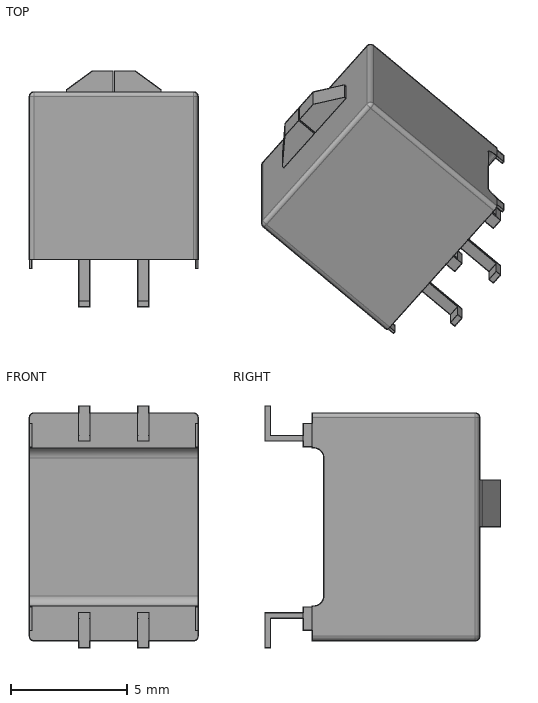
import cadquery as cq

HOUSING_WIDTH = 7.26
HOUSING_DEPTH = 7.21
HOUSING_HEIGHT = 9.8
EDGE_RADIUS = 0.21

RELIEF_HEIGHT = 6.78
RELIEF_DEPTH = 0.5
RELIEF_RADIUS = 0.43

TAB_THICKNESS = 0.1
TAB_HEIGHT = 1.01
TAB_LENGTH = 0.38
TAB_SIDE_INSET = 0.005
TAB_END_INSET = 0.46

PIN_PITCH = 2.54
PIN_WIDTH = 0.48
PIN_THICKNESS = 0.25
PIN_REACH = 2.03
PIN_LEG = 1.52
OVERALL_HEIGHT = 10.4

ACTUATOR_BASE_HALF_WIDTH = 2.04
ACTUATOR_TIP_HALF_WIDTH = 0.93
ACTUATOR_SHOULDER = 0.08
ACTUATOR_LENGTH = 0.89
ACTUATOR_HEIGHT = 2.02
ACTUATOR_GAP = 0.05

SIDES = (-1, 1)


def make_block():
    """Rounded block, with the edges round the pin face left sharp."""
    block = cq.Workplane("XY").box(HOUSING_WIDTH, HOUSING_DEPTH, HOUSING_HEIGHT)
    block = block.translate((0, HOUSING_DEPTH / 2, 0))
    return block.edges("|Y or >Y").fillet(EDGE_RADIUS)


def make_relief():
    """Cutter for the relief, with its two inner corners rounded."""
    return (
        cq.Workplane("XY")
        .box(HOUSING_WIDTH, 2 * RELIEF_DEPTH, RELIEF_HEIGHT)
        .edges("|X and >Y")
        .fillet(RELIEF_RADIUS)
    )


def make_tab(side_x, side_z):
    """Thin tab set in slightly from one side of the housing."""
    center_x = side_x * (HOUSING_WIDTH / 2 - TAB_SIDE_INSET - TAB_THICKNESS / 2)
    center_z = side_z * (HOUSING_HEIGHT / 2 - TAB_END_INSET - TAB_HEIGHT / 2)
    tab = cq.Workplane("XY").box(TAB_THICKNESS, TAB_LENGTH, TAB_HEIGHT)
    return tab.translate((center_x, -TAB_LENGTH / 2, center_z))


def make_pin(side_x, side_z):
    """L-shaped pin that leaves the pin face and bends away from mid height."""
    end_z = side_z * OVERALL_HEIGHT / 2
    inner_z = end_z - side_z * PIN_LEG
    outer_z = inner_z + side_z * PIN_THICKNESS
    bend_y = PIN_THICKNESS - PIN_REACH
    outline = [
        (0, inner_z),
        (-PIN_REACH, inner_z),
        (-PIN_REACH, end_z),
        (bend_y, end_z),
        (bend_y, outer_z),
        (0, outer_z),
    ]
    pin = cq.Workplane("YZ").polyline(outline).close().extrude(PIN_WIDTH / 2, both=True)
    return pin.translate((side_x * PIN_PITCH / 2, 0, 0))


def make_housing():
    """Housing in one piece with its tabs and pins."""
    housing = make_block().cut(make_relief())
    for side_x in SIDES:
        for side_z in SIDES:
            housing = housing.union(make_tab(side_x, side_z))
            housing = housing.union(make_pin(side_x, side_z))
    return housing


def make_actuator_half(side_x):
    """One half of the tapered actuator, standing on the back face."""
    back_y = HOUSING_DEPTH
    tip_y = back_y + ACTUATOR_LENGTH
    inner_x = side_x * ACTUATOR_GAP / 2
    base_x = side_x * ACTUATOR_BASE_HALF_WIDTH
    outline = [
        (inner_x, back_y),
        (base_x, back_y),
        (base_x, back_y + ACTUATOR_SHOULDER),
        (side_x * ACTUATOR_TIP_HALF_WIDTH, tip_y),
        (inner_x, tip_y),
    ]
    return cq.Workplane("XY").polyline(outline).close().extrude(ACTUATOR_HEIGHT)


housing = make_housing()
actuator_halves = [make_actuator_half(side_x) for side_x in SIDES]

result = cq.Compound.makeCompound([housing.val(), *[half.val() for half in actuator_halves]])